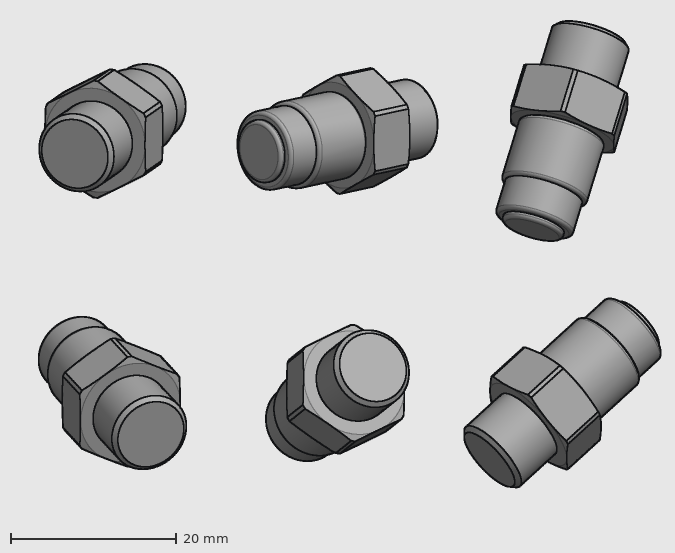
import cadquery as cq
import math

total_length = 25.7
front_stud_length = 6.7
hex_length = 6.0
body_length = 8.0
neck_length = 4.27

stud_diameter = 9.75
body_diameter = 10.75
neck_diameter = stud_diameter
tip_diameter = 7.68
hex_across_flats = 13.0
hex_across_corners = 14.7

stud_chamfer = 0.57
body_round = 0.45
neck_round = 0.45
tip_round = 0.45
hex_chamfer_angle = 15.0

front_y = -total_length / 2
hex_front_y = front_y + front_stud_length
hex_back_y = hex_front_y + hex_length
body_back_y = hex_back_y + body_length
neck_back_y = body_back_y + neck_length
tip_length = total_length / 2 - neck_back_y


def cylinder(diameter, start_y, length):
    """Cylinder on the Y axis running from start_y towards +Y."""
    plane = cq.Workplane("XZ", origin=(0, start_y, 0))
    return plane.circle(diameter / 2).extrude(-length)


def hex_nut():
    """Hexagon with flats facing X, blunted corners and conical end chamfers."""
    full_corner_diameter = hex_across_flats / math.cos(math.pi / 6)
    hexagon = (
        cq.Workplane("XZ", origin=(0, hex_front_y, 0))
        .polygon(6, full_corner_diameter)
        .extrude(-hex_length)
        .rotate((0, 0, 0), (0, 1, 0), 30)
    )
    face_radius = hex_across_flats / 2
    corner_radius = hex_across_corners / 2
    chamfer_depth = (corner_radius - face_radius) * math.tan(math.radians(hex_chamfer_angle))
    envelope = (
        cq.Workplane("XY")
        .moveTo(0, hex_front_y)
        .lineTo(face_radius, hex_front_y)
        .lineTo(corner_radius, hex_front_y + chamfer_depth)
        .lineTo(corner_radius, hex_back_y - chamfer_depth)
        .lineTo(face_radius, hex_back_y)
        .lineTo(0, hex_back_y)
        .close()
        .revolve(360, (0, 0, 0), (0, 1, 0))
    )
    return hexagon.intersect(envelope)


front_stud = cylinder(stud_diameter, front_y, front_stud_length)
front_stud = front_stud.faces("<Y").chamfer(stud_chamfer)

body = cylinder(body_diameter, hex_back_y, body_length)
body = body.faces("<Y or >Y").edges().fillet(body_round)

neck = cylinder(neck_diameter, body_back_y, neck_length)
neck = neck.faces(">Y").edges().fillet(neck_round)

tip = cylinder(tip_diameter, neck_back_y, tip_length)
tip = tip.faces(">Y").edges().fillet(tip_round)

result = hex_nut().union(front_stud).union(body).union(neck).union(tip)